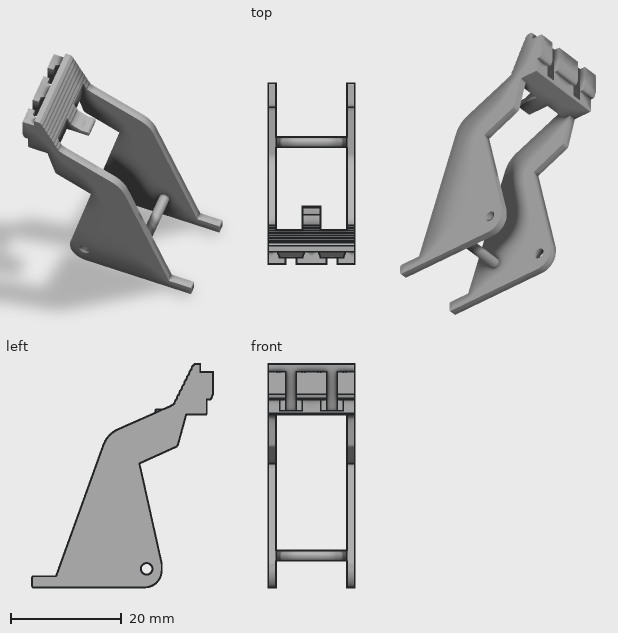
import cadquery as cq
import math


width = 15.7
depth = 32.74
height = 40.47

plate_thickness = 1.45
foot_height = 2.05
foot_corner_radius = 0.3
leg_back_y = 28.4
shoulder = (19.12, 27.78)
shoulder_radius = 5.0
arm_end = (7.75, 32.8)
throat_y = 4.83
chin = (6.4, 25.56)
chin_radius = 0.85
crook = (13.29, 22.43)
toe_front_y = 9.26
toe_radius = 3.1
toe_flat_top_z = 4.33

hole_diameter = 2.05
hole_y = 12.0
hole_z = 3.38
pin_diameter = 1.9
pin_y = 22.07
pin_z = 5.76

head_bottom_z = 31.28
head_back_y = 6.23
wall_front_y = 2.28
wall_back_y = 3.3
lower_front_y = 1.12
head_chamfer_y = 0.12
head_chamfer_z = 0.24

tooth_count = 8
tooth_pitch_y = 0.44
tooth_pitch_z = 0.888
tooth_riser = 0.46
tooth_lean = 0.1
first_tooth_y = 3.83
first_tooth_top_z = 39.93

peg_top_z = 39.0
peg_bevel_top_z = 34.97
peg_nose = (0.27, 34.24)
peg_bottom_y = 0.5
peg_bottom_z = 34.0

slot_spacing = 7.42
slot_floor_z = 31.93
slot_gap_width = 1.93
slot_mouth_width = 4.05
slot_deep_width = 4.95
web_thickness = 0.03
web_recess = 0.02

tab_width = 3.32
tab_back_y = 10.49
tab_top_z = 32.27
tab_chamfer = 0.25


def box(x_range, y_range, z_range):
    """Axis-aligned box from its (low, high) limits."""
    size = [high - low for low, high in (x_range, y_range, z_range)]
    corner = cq.Vector(x_range[0], y_range[0], z_range[0])
    return cq.Workplane(cq.Solid.makeBox(*size, corner))


def x_cylinder(diameter, length, y, z):
    """Cylinder along X, centred on X = 0."""
    start = cq.Vector(-length / 2, y, z)
    return cq.Workplane(cq.Solid.makeCylinder(diameter / 2, length, start, cq.Vector(1, 0, 0)))


def side_profile():
    """Closed YZ outline of plate, arm and head."""
    outline = (
        cq.Workplane("YZ")
        .moveTo(toe_front_y + toe_radius, 0)
        .lineTo(depth, 0)
        .lineTo(depth, foot_height)
        .lineTo(leg_back_y, foot_height)
        .lineTo(*shoulder)
        .lineTo(*arm_end)
    )
    for index in reversed(range(tooth_count)):
        tooth_y = first_tooth_y + index * tooth_pitch_y
        tooth_top = first_tooth_top_z - index * tooth_pitch_z
        outline = outline.lineTo(tooth_y + tooth_lean, tooth_top - tooth_riser)
        outline = outline.lineTo(tooth_y, tooth_top)
    toe_middle = toe_radius * (1 - math.cos(math.radians(45)))
    return (
        outline.lineTo(wall_back_y, height)
        .lineTo(wall_front_y, height)
        .lineTo(wall_front_y, peg_top_z)
        .lineTo(0, peg_top_z)
        .lineTo(0, peg_bevel_top_z)
        .lineTo(*peg_nose)
        .lineTo(peg_bottom_y, peg_bottom_z)
        .lineTo(lower_front_y, peg_bottom_z)
        .lineTo(lower_front_y, head_bottom_z + head_chamfer_z)
        .lineTo(lower_front_y + head_chamfer_y, head_bottom_z)
        .lineTo(throat_y, head_bottom_z)
        .lineTo(*chin)
        .lineTo(*crook)
        .lineTo(toe_front_y, toe_flat_top_z)
        .lineTo(toe_front_y, toe_radius)
        .threePointArc((toe_front_y + toe_middle, toe_middle), (toe_front_y + toe_radius, 0))
        .close()
    )


def round_edge(body, y, z, radius):
    """Fillet the edge along X that passes through (y, z)."""
    margin = 0.01
    selector = cq.selectors.BoxSelector(
        (-width, y - margin, z - margin), (width, y + margin, z + margin)
    )
    return body.edges(selector).fillet(radius)


def full_width_body():
    """Side profile across the full width, with its rounded corners."""
    body = side_profile().extrude(width / 2, both=True)
    body = round_edge(body, *shoulder, shoulder_radius)
    body = round_edge(body, *chin, chin_radius)
    body = round_edge(body, depth, 0, foot_corner_radius)
    return round_edge(body, depth, foot_height, foot_corner_radius)


def tab(body):
    """Short tab behind the head; it follows the slope of the arms above its flat top."""
    x_range = (-tab_width / 2, tab_width / 2)
    z_range = (head_bottom_z, tab_top_z)
    ledge = box(x_range, (head_back_y, tab_back_y), z_range)
    ledge = ledge.edges("|X and >Y and >Z").chamfer(tab_chamfer)
    slope = body.intersect(box(x_range, (head_back_y, tab_back_y), (head_bottom_z, height)))
    return ledge.union(slope)


def slot(center_x):
    """Cutter for one slot: straight gap at the front, flared space behind it."""
    gap = box(
        (center_x - slot_gap_width / 2, center_x + slot_gap_width / 2),
        (0, wall_front_y),
        (slot_floor_z, height),
    )
    flare_front_y = lower_front_y + web_recess + web_thickness
    flare = (
        cq.Workplane("XY", origin=(center_x, 0, slot_floor_z))
        .moveTo(-slot_mouth_width / 2, flare_front_y)
        .lineTo(slot_mouth_width / 2, flare_front_y)
        .lineTo(slot_deep_width / 2, wall_front_y)
        .lineTo(-slot_deep_width / 2, wall_front_y)
        .close()
        .extrude(height - slot_floor_z)
    )
    recess = box(
        (center_x - slot_mouth_width / 2, center_x + slot_mouth_width / 2),
        (lower_front_y, lower_front_y + web_recess),
        (slot_floor_z, peg_bottom_z),
    )
    return gap.union(flare).union(recess)


inner_width = width - 2 * plate_thickness
inner_x = (-inner_width / 2, inner_width / 2)

full_body = full_width_body()
behind_head = box(inner_x, (head_back_y, depth), (0, height))
below_head = box(inner_x, (0, depth), (0, head_bottom_z))
result = full_body.cut(behind_head).cut(below_head).union(tab(full_body))

result = result.cut(x_cylinder(hole_diameter, width, hole_y, hole_z))
result = result.union(x_cylinder(pin_diameter, inner_width, pin_y, pin_z))

for side in (-1, 1):
    result = result.cut(slot(side * slot_spacing / 2))